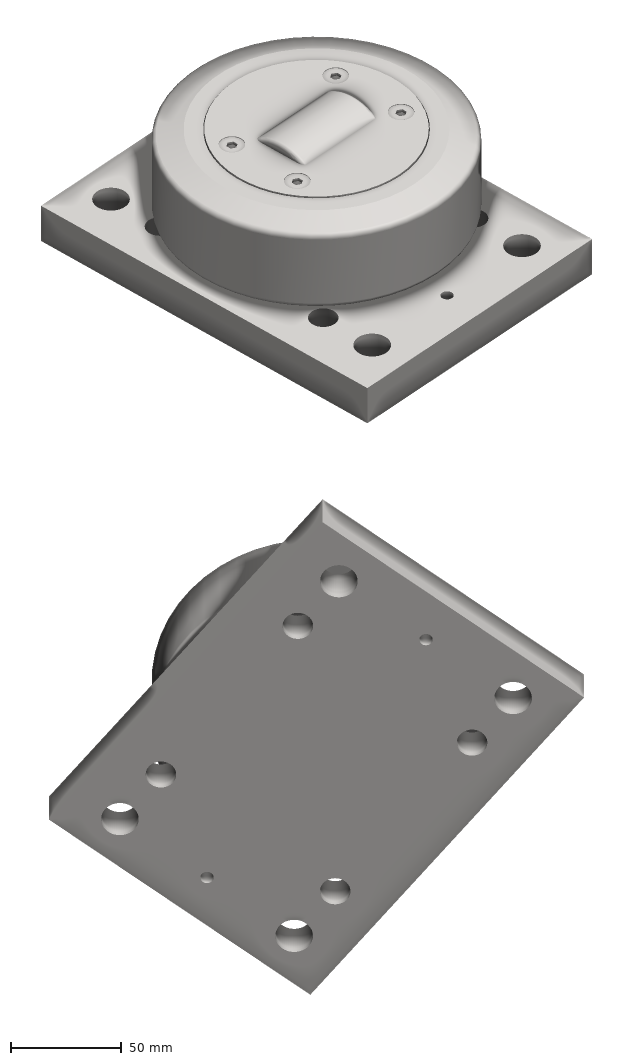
import cadquery as cq
import math

plate_length = 200
plate_width = 150
plate_height = 20
outer_hole_x = 80
hole_y = 50
mounting_hole_diameter = 17.0
inner_hole_x = 50
inner_hole_diameter = 13.8
pin_hole_diameter = 6

neck_diameter = 103.0
wheel_bottom = 28.2
wheel_radius = 74.5
shoulder_radius = 60
shoulder_height = 73.0
rim_radius = 72.5
rim_height = 69.8
side_top = 67.2
bottom_rounding = 2.5

cover_diameter = 101.5
cover_bore_diameter = 102.5
cover_gap_depth = 2
cover_top = 73.5

screw_circle_radius = 40
screw_angles = (60, 120, 240, 300)
screw_seat_diameter = 12
screw_seat_depth = 0.5
socket_width = 4.5
socket_depth = 1.5

roller_radius = 25.0
roller_length = 49.5
roller_rounding = 2
roller_top = 78.5


def build_plate():
    plate = cq.Workplane("XY").box(
        plate_length, plate_width, plate_height, centered=(True, True, False)
    )

    def drill(points, diameter):
        return cq.Workplane("XY").pushPoints(points).circle(diameter / 2).extrude(plate_height)

    outer_points = [(sx * outer_hole_x, sy * hole_y) for sx in (-1, 1) for sy in (-1, 1)]
    inner_points = [(sx * inner_hole_x, sy * hole_y) for sx in (-1, 1) for sy in (-1, 1)]
    pin_points = [(-outer_hole_x, 0), (outer_hole_x, 0)]
    plate = plate.cut(drill(outer_points, mounting_hole_diameter))
    plate = plate.cut(drill(inner_points, inner_hole_diameter))
    return plate.cut(drill(pin_points, pin_hole_diameter))


def build_wheel():
    round_center_radius = wheel_radius - bottom_rounding
    round_center_height = wheel_bottom + bottom_rounding
    round_offset = bottom_rounding * math.sqrt(0.5)
    profile = (
        cq.Workplane("XZ")
        .moveTo(0, wheel_bottom)
        .lineTo(round_center_radius, wheel_bottom)
        .threePointArc(
            (round_center_radius + round_offset, round_center_height - round_offset),
            (wheel_radius, round_center_height),
        )
        .lineTo(wheel_radius, side_top)
        .tangentArcPoint((rim_radius, rim_height), relative=False)
        .lineTo(shoulder_radius, shoulder_height)
        .lineTo(0, shoulder_height)
        .close()
    )
    return profile.revolve(360, (0, 0, 0), (0, 1, 0))


def disc(diameter, bottom, top):
    return cq.Workplane("XY").workplane(offset=bottom).circle(diameter / 2).extrude(top - bottom)


def build_screw_recesses():
    """Return the shallow round seats and the hexagon sockets sunk below them."""
    circle_points = [
        (
            screw_circle_radius * math.cos(math.radians(angle)),
            screw_circle_radius * math.sin(math.radians(angle)),
        )
        for angle in screw_angles
    ]
    seat_bottom = cover_top - screw_seat_depth
    socket_corner_diameter = socket_width / math.cos(math.radians(30))
    seats = (
        cq.Workplane("XY")
        .workplane(offset=seat_bottom)
        .pushPoints(circle_points)
        .circle(screw_seat_diameter / 2)
        .extrude(screw_seat_depth)
    )
    sockets = (
        cq.Workplane("XY")
        .workplane(offset=seat_bottom - socket_depth)
        .pushPoints(circle_points)
        .polygon(6, socket_corner_diameter)
        .extrude(socket_depth)
    )
    return seats.union(sockets)


def build_roller():
    return (
        cq.Workplane("XZ")
        .center(0, roller_top - roller_radius)
        .circle(roller_radius)
        .extrude(roller_length / 2, both=True)
        .faces("<Y or >Y")
        .fillet(roller_rounding)
    )


wheel = build_wheel()
wheel = wheel.cut(disc(cover_bore_diameter, shoulder_height - cover_gap_depth, shoulder_height))
cover = disc(cover_diameter, shoulder_height - cover_gap_depth, cover_top)
neck = disc(neck_diameter, plate_height, wheel_bottom)

result = build_plate().union(neck).union(wheel).union(cover)
result = result.cut(build_screw_recesses()).union(build_roller())